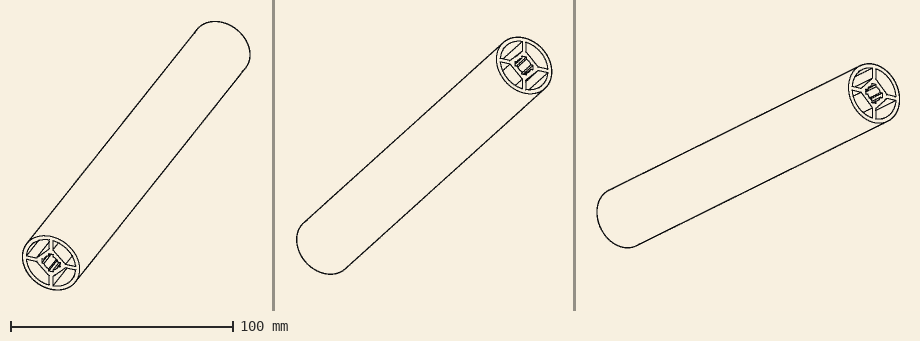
import math
import cadquery as cq

length = 200.0
outer_diameter = 28.0
rim_thickness = 2.0
web_thickness = 1.8
core_corner_radius = 8.0
bore_diameter = 7.2
notch_width = 2.2
notch_span = 9.0

inner_radius = outer_diameter / 2 - rim_thickness
half_web = web_thickness / 2
web_end = math.sqrt(inner_radius**2 - half_web**2)
web_start = core_corner_radius - half_web
arc_middle = inner_radius / math.sqrt(2)


def section():
    """Workplane across the tube at its +Y end, facing -Y."""
    return cq.Workplane("XZ", origin=(0, length / 2, 0))


def through(profile):
    """Extrude a cross-section over the full length, centred on the origin."""
    return profile.extrude(length)


def corner_pocket():
    """Full-length void between the rim, two webs and one side of the core."""
    return through(
        section()
        .moveTo(web_start, half_web)
        .lineTo(web_end, half_web)
        .threePointArc((arc_middle, arc_middle), (half_web, web_end))
        .lineTo(half_web, web_start)
        .close()
    )


def notched_bore():
    """Round central bore with four notches facing the webs."""
    bore = through(section().circle(bore_diameter / 2))
    bore = bore.union(through(section().rect(notch_span, notch_width)))
    return bore.union(through(section().rect(notch_width, notch_span)))


result = through(section().circle(outer_diameter / 2))

for angle in (0, 90, 180, 270):
    result = result.cut(corner_pocket().rotate((0, 0, 0), (0, 1, 0), angle))

result = result.cut(notched_bore())